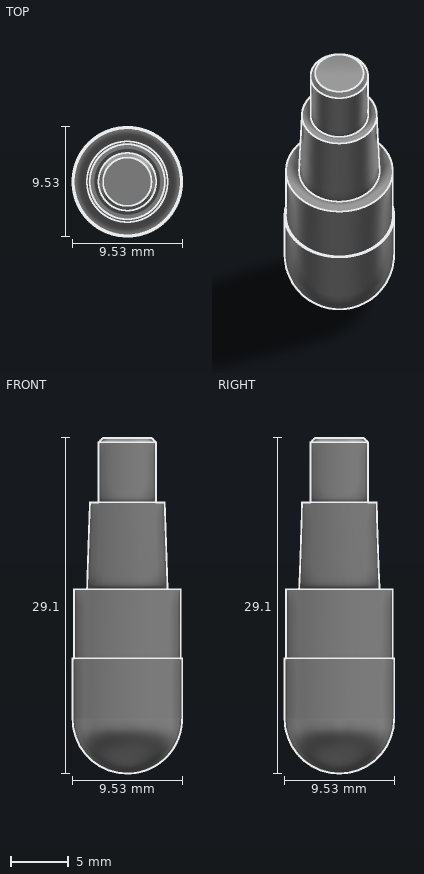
import cadquery as cq
import math

tip_diameter = 9.53
tip_radius = tip_diameter / 2
tip_height = 10.0

collar_diameter = 9.27
collar_length = 6.0
neck_base_diameter = 7.0
neck_top_diameter = 6.5
neck_length = 7.5
pin_diameter = 5.0
pin_length = 5.6
pin_chamfer = 0.4

collar_top = tip_height + collar_length
neck_top = collar_top + neck_length
pin_top = neck_top + pin_length


def make_tip():
    """Solid of revolution with a hemispherical lower end and a flat top."""
    arc_offset = tip_radius * math.cos(math.pi / 4)
    return (
        cq.Workplane("XZ")
        .moveTo(0, 0)
        .threePointArc((arc_offset, tip_radius - arc_offset), (tip_radius, tip_radius))
        .lineTo(tip_radius, tip_height)
        .lineTo(0, tip_height)
        .close()
        .revolve(360, (0, 0, 0), (0, 1, 0))
    )


def make_shank():
    """Stepped, tapered shank seated on the flat top of the tip."""
    pin_radius = pin_diameter / 2
    return (
        cq.Workplane("XZ")
        .moveTo(0, tip_height)
        .lineTo(collar_diameter / 2, tip_height)
        .lineTo(collar_diameter / 2, collar_top)
        .lineTo(neck_base_diameter / 2, collar_top)
        .lineTo(neck_top_diameter / 2, neck_top)
        .lineTo(pin_radius, neck_top)
        .lineTo(pin_radius, pin_top - pin_chamfer)
        .lineTo(pin_radius - pin_chamfer, pin_top)
        .lineTo(0, pin_top)
        .close()
        .revolve(360, (0, 0, 0), (0, 1, 0))
    )


tip = make_tip()
shank = make_shank()
result = cq.Compound.makeCompound([tip.val(), shank.val()])